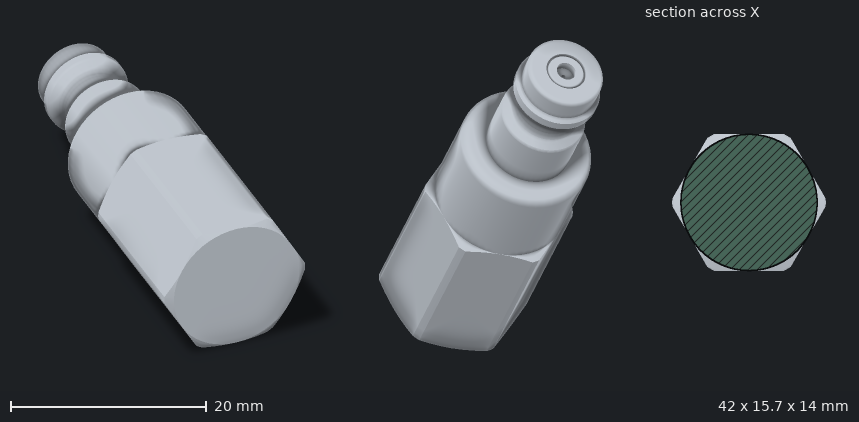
import cadquery as cq
import math

total_length = 42.0
across_flats = 14.0
across_corners = 15.7
body_start = 14.03
hex_start = 24.1
body_round = 1.0

tip_radius = 8.05 / 2
tip_round = 0.5
shank_radius = 9.0 / 2
collar_start = 2.6
collar_chamfer = 0.4

groove_radius = 6.6 / 2
groove_floor_start = 5.25
groove_floor_end = 7.15
groove_floor_round = 1.0
groove_lip_round = 0.4

pin_bore_radius = 4.2 / 2
pin_radius = 3.8 / 2
pin_edge_round = 0.2
pin_groove_depth = 0.4
socket_radius = 2.0 / 2
socket_depth = 1.0
pilot_radius = 0.4 / 2
pilot_depth = 0.4

hex_chamfer_angle = 30.0


def revolve_about_x(profile):
    """Turn a closed XY profile fully around the X axis."""
    return profile.close().revolve(360, (0, 0, 0), (1, 0, 0))


def round_edges_at(solid, x, radius, fillet_size):
    """Fillet the circular edge of the given radius at station x."""
    margin = 0.02
    outer = radius + margin
    box = cq.selectors.BoxSelector(
        (x - margin, -outer, -outer), (x + margin, outer, outer), boundingbox=True
    )
    edges = solid.edges(box).edges(cq.selectors.RadiusNthSelector(-1))
    return solid.newObject(edges.vals()).fillet(fillet_size)


def make_turned_nose():
    groove_depth = shank_radius - groove_radius
    collar_end = groove_floor_start - groove_depth
    shank_start = groove_floor_end + groove_depth
    body_radius = across_flats / 2
    nose = revolve_about_x(
        cq.Workplane("XY").polyline([
            (0, 0),
            (0, tip_radius),
            (collar_start, tip_radius),
            (collar_start + collar_chamfer, shank_radius),
            (collar_end, shank_radius),
            (groove_floor_start, groove_radius),
            (groove_floor_end, groove_radius),
            (shank_start, shank_radius),
            (body_start, shank_radius),
            (body_start, body_radius),
            (hex_start, body_radius),
            (hex_start, 0),
        ])
    )
    rounded_edges = [
        (0, tip_radius, tip_round),
        (collar_end, shank_radius, groove_lip_round),
        (groove_floor_start, groove_radius, groove_floor_round),
        (groove_floor_end, groove_radius, groove_floor_round),
        (shank_start, shank_radius, groove_lip_round),
        (body_start, body_radius, body_round),
    ]
    for x, radius, fillet_size in rounded_edges:
        nose = round_edges_at(nose, x, radius, fillet_size)
    return nose


def make_hex():
    """Hexagon with corners along Y, turned corners and chamfered ends."""
    flat_radius = across_flats / 2
    corner_radius = across_corners / 2
    chamfer_length = (corner_radius - flat_radius) * math.tan(math.radians(hex_chamfer_angle))
    prism = (
        cq.Workplane("YZ", origin=(hex_start, 0, 0))
        .transformed(rotate=(0, 0, 90))
        .polygon(6, across_flats, circumscribed=True)
        .extrude(total_length - hex_start)
    )
    envelope = revolve_about_x(
        cq.Workplane("XY").polyline([
            (hex_start, 0),
            (hex_start, flat_radius),
            (hex_start + chamfer_length, corner_radius),
            (total_length - chamfer_length, corner_radius),
            (total_length, flat_radius),
            (total_length, 0),
        ])
    )
    return prism.intersect(envelope)


def make_pin_groove():
    """Annular groove that leaves a pin with a rounded front edge."""
    bore = cq.Workplane("YZ").circle(pin_bore_radius).extrude(pin_groove_depth)
    pin = (
        cq.Workplane("YZ")
        .circle(pin_radius)
        .extrude(pin_groove_depth)
        .faces("<X")
        .edges()
        .fillet(pin_edge_round)
    )
    return bore.cut(pin)


def make_pin_socket():
    """Blind hole in the pin with a small pilot hole in its floor."""
    socket = cq.Workplane("YZ").circle(socket_radius).extrude(socket_depth)
    pilot = cq.Workplane("YZ").circle(pilot_radius).extrude(socket_depth + pilot_depth)
    return socket.union(pilot)


body = make_turned_nose().union(make_hex())
result = body.cut(make_pin_groove()).cut(make_pin_socket())